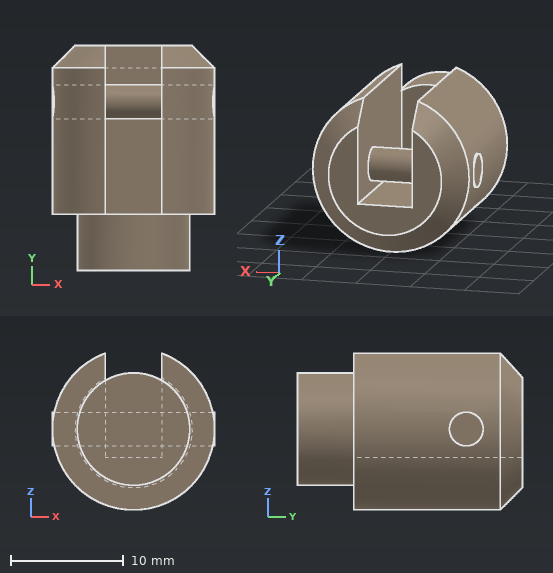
import cadquery as cq

body_diameter = 14.4
body_length = 15.0
nose_chamfer = 2.0
stud_diameter = 10.0
stud_length = 5.0
slot_width = 5.0
pin_diameter = 3.0
pin_from_nose = 5.0
floor_clearance = 1.0

overall_length = stud_length + body_length
pin_y = overall_length - pin_from_nose
pin_length = body_diameter
slot_floor_z = -pin_diameter / 2 - floor_clearance
slot_height = body_diameter / 2 - slot_floor_z


def cylinder_along_y(diameter, start_y, length):
    """Cylinder on the part's axis, running toward +Y from start_y."""
    plane = cq.Plane(origin=(0, start_y, 0), xDir=(1, 0, 0), normal=(0, 1, 0))
    return cq.Workplane(plane).circle(diameter / 2).extrude(length)


def make_cross_pin():
    """Pin along X through both cheeks, its flat ends tangent to the body."""
    plane = cq.Workplane("YZ", origin=(-pin_length / 2, pin_y, 0))
    return plane.circle(pin_diameter / 2).extrude(pin_length)


def make_slot():
    """Slot between the cheeks, open at the top and at both ends of the body."""
    return (
        cq.Workplane("XY", origin=(0, stud_length + body_length / 2, slot_floor_z))
        .rect(slot_width, body_length)
        .extrude(slot_height)
    )


def make_clevis():
    """Chamfered, slotted round body with a solid stud on its plain end."""
    body = cylinder_along_y(body_diameter, stud_length, body_length)
    body = body.faces(">Y").chamfer(nose_chamfer)
    stud = cylinder_along_y(stud_diameter, 0, stud_length)
    return body.cut(make_slot()).union(stud).cut(make_cross_pin())


clevis = make_clevis()
cross_pin = make_cross_pin()

result = cq.Compound.makeCompound([clevis.solids().val(), cross_pin.val()])